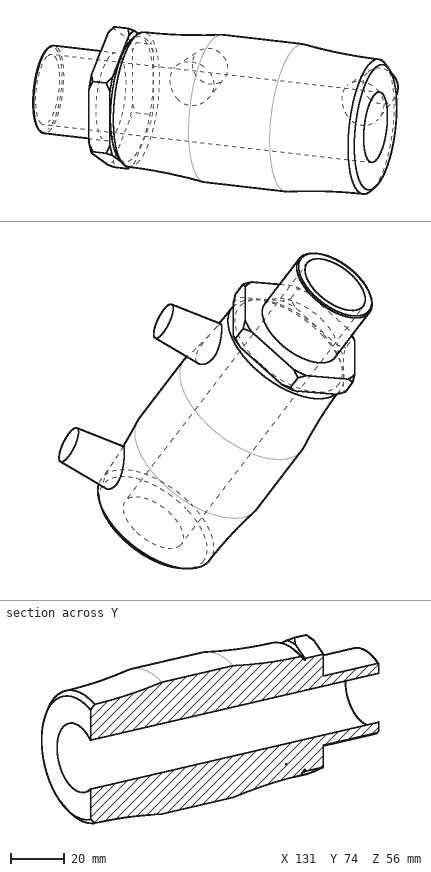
import cadquery as cq
import math

total_length = 131.0
spigot_length = 25.3
hex_width = 8.4
body_start = spigot_length + hex_width
barrel_start = 66.3
barrel_end = 98.6

bore_diameter = 26.6
spigot_diameter = 33.3
spigot_chamfer = 0.5
barrel_radius = 56.0 / 2
rim_radius = 25.5
rim_chamfer = 1.8
waist_sag = 0.59

hex_across_flats = 48.3
hex_blank_radius = barrel_radius
hex_chamfer = 1.6

pin_positions = (48.3, 116.5)
pin_tip_y = 74.0 - barrel_radius
pin_tip_diameter = 14.1
pin_base_y = 24.9
pin_base_diameter = 17.3
pin_root_y = 19.6


def make_spigot():
    """Plain tube end with a small edge break."""
    spigot = cq.Workplane("YZ").circle(spigot_diameter / 2).extrude(body_start)
    return spigot.faces("<X").chamfer(spigot_chamfer)


def make_hexagon():
    """Hexagon with corners on +Z and -Z, its corners turned off at both faces."""
    hexagon = (
        cq.Workplane("YZ", origin=(spigot_length, 0, 0))
        .transformed(rotate=(0, 0, 90))
        .polygon(6, hex_across_flats / math.cos(math.pi / 6))
        .extrude(hex_width)
    )
    turned_blank = (
        cq.Workplane("YZ", origin=(spigot_length, 0, 0))
        .circle(hex_blank_radius)
        .extrude(hex_width)
        .faces("<X or >X")
        .chamfer(hex_chamfer)
    )
    return hexagon.intersect(turned_blank)


def flank_midpoint(rim_x, barrel_x):
    """Middle point of the hollow arc between a rim and the barrel."""
    return ((rim_x + barrel_x) / 2, (rim_radius + barrel_radius) / 2 - waist_sag)


def make_body():
    """Turned body: straight barrel between two hollow flanks with chamfered rims."""
    front_rim_x = body_start + rim_chamfer
    back_rim_x = total_length - rim_chamfer
    face_radius = rim_radius - rim_chamfer
    profile = (
        cq.Workplane("XY")
        .moveTo(body_start, 0)
        .lineTo(body_start, face_radius)
        .lineTo(front_rim_x, rim_radius)
        .threePointArc(flank_midpoint(front_rim_x, barrel_start), (barrel_start, barrel_radius))
        .lineTo(barrel_end, barrel_radius)
        .threePointArc(flank_midpoint(back_rim_x, barrel_end), (back_rim_x, rim_radius))
        .lineTo(total_length, face_radius)
        .lineTo(total_length, 0)
        .close()
    )
    return profile.revolve(360, (0, 0, 0), (1, 0, 0))


def make_pin(x):
    """Tapered round terminal pin."""
    radius_per_length = (pin_base_diameter - pin_tip_diameter) / 2 / (pin_tip_y - pin_base_y)
    length = pin_tip_y - pin_root_y
    root_radius = pin_tip_diameter / 2 + radius_per_length * length
    cone = cq.Solid.makeCone(
        root_radius,
        pin_tip_diameter / 2,
        length,
        pnt=cq.Vector(x, pin_root_y, 0),
        dir=cq.Vector(0, 1, 0),
    )
    return cq.Workplane(obj=cone)


result = make_spigot().union(make_hexagon()).union(make_body())
for pin_x in pin_positions:
    result = result.union(make_pin(pin_x))

bore = cq.Workplane("YZ").circle(bore_diameter / 2).extrude(total_length)
result = result.cut(bore)